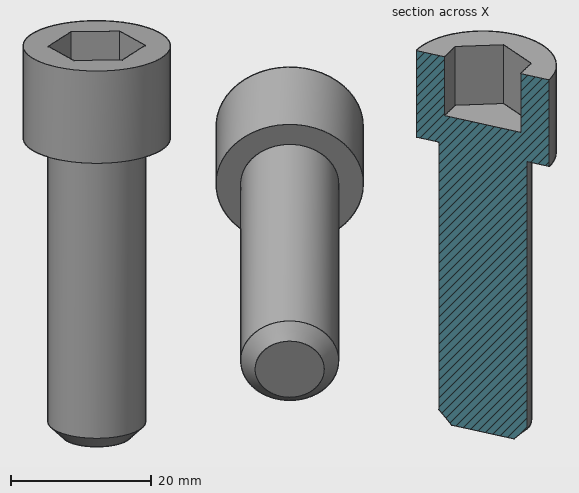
import cadquery as cq
import math

total_length = 59.0
head_diameter = 21.0
shank_diameter = 14.0
head_height = shank_diameter
shank_length = total_length - head_height

socket_across_flats = 12.0
socket_across_corners = socket_across_flats / math.cos(math.pi / 6)
socket_depth = 9.45

tip_chamfer = 2.05


def make_shank():
    """Plain shank from the tip at Z = 0 up to the underside of the head."""
    shank = cq.Workplane("XY").circle(shank_diameter / 2).extrude(shank_length)
    return shank.faces("<Z").chamfer(tip_chamfer)


def make_head():
    """Cylindrical head standing on the shank."""
    base = cq.Workplane("XY").workplane(offset=shank_length)
    return base.circle(head_diameter / 2).extrude(head_height)


def make_socket():
    """Hexagonal volume cut downwards from the top of the head."""
    top = cq.Workplane("XY").workplane(offset=total_length)
    return top.polygon(6, socket_across_corners).extrude(-socket_depth)


result = make_shank().union(make_head()).cut(make_socket())